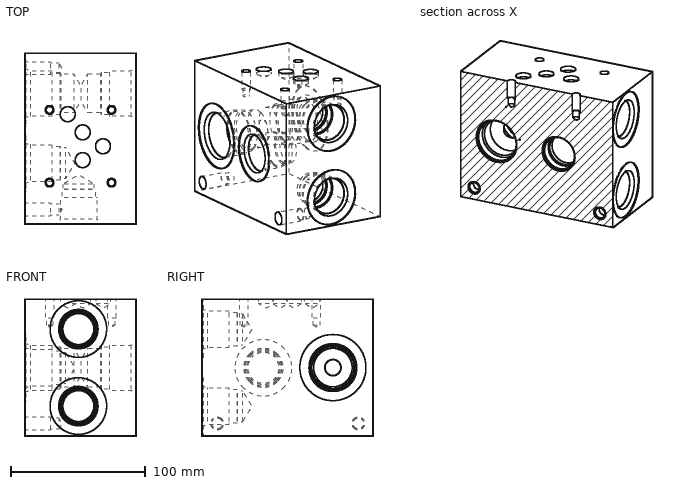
import cadquery as cq
import math

WIDTH = 82.55
LENGTH = 127.0
HEIGHT = 101.6

DRILL_POINT_ANGLE = 118.0

SPOTFACE_DEPTH = 0.79
SEAT_DEPTH = 3.3
SEAT_ANGLE = 15.0
MINOR_BORE_LENGTH = 6.0
SMALL_PORT = {
    "spotface": 42.04,
    "seat": 27.43,
    "thread": 26.99,
    "thread_depth": 19.8,
    "minor": 24.92,
    "drill": 23.01,
}
SMALL_PORT_DRILL_DEPTH = 30.0
LARGE_PORT = {
    "spotface": 49.12,
    "seat": 33.76,
    "thread": 33.34,
    "thread_depth": 19.8,
    "minor": 31.27,
    "drill": 28.57,
}
MEETING_DIAMETER = 11.75

AB_PORT_X = 39.69
AB_PORT_SPACING = 57.15

T_END_DISTANCE = 29.8
P_END_DISTANCE = 81.6
T_PORT_Y = LENGTH - T_END_DISTANCE
P_PORT_Y = LENGTH - P_END_DISTANCE

MOUNT_THREAD_DIAMETER = 9.53
MOUNT_THREAD_DEPTH = 19.0
MOUNT_DRILL_DIAMETER = 7.92
MOUNT_DRILL_DEPTH = 25.0
MOUNT_END_DISTANCE = 11.11
MOUNT_HEIGHT = 9.53

BOLT_SPACING_X = 46.0
BOLT_SPACING_Y = 54.0
BOLT_ORIGIN_X = (WIDTH - BOLT_SPACING_X) / 2
BOLT_ORIGIN_Y = 30.8
BOLT_THREAD_DIAMETER = 6.35
BOLT_THREAD_DEPTH = 14.0
BOLT_DRILL_DIAMETER = 5.11
BOLT_DRILL_DEPTH = 19.0

PASSAGE_DIAMETER = 11.11
PASSAGE_DEPTH = 3.175
PASSAGE_POSITIONS = [(13.5, 50.8), (24.6, 37.3), (39.7, 27.0), (24.6, 16.7)]


def point_length(diameter):
    """Length of the drill-point cone below a hole of this diameter."""
    return diameter / 2 / math.tan(math.radians(DRILL_POINT_ANGLE / 2))


def turned_tool(profile, origin, inward):
    """Revolve (diameter, depth) points about a hole axis that runs from origin along inward."""
    half_section = [(0, 0)]
    half_section += [(diameter / 2, depth) for diameter, depth in profile]
    along = cq.Vector(*inward)
    across = cq.Vector(0, 0, 1) if inward[2] == 0 else cq.Vector(1, 0, 0)
    plane = cq.Plane(origin=origin, xDir=across, normal=across.cross(along))
    return cq.Workplane(plane).polyline(half_section).close().revolve(360, (0, 0), (0, 1))


def drilled_hole(diameter, depth, origin, inward):
    profile = [(diameter, 0), (diameter, depth), (0, depth + point_length(diameter))]
    return turned_tool(profile, origin, inward)


def tapped_hole(thread, thread_depth, drill, drill_depth, origin, inward):
    profile = [
        (thread, 0),
        (thread, thread_depth),
        (drill, thread_depth),
        (drill, drill_depth),
        (0, drill_depth + point_length(drill)),
    ]
    return turned_tool(profile, origin, inward)


def port(size, drill_depth, origin, inward):
    seat_end = SPOTFACE_DEPTH + SEAT_DEPTH
    seat_top = size["seat"] + 2 * SEAT_DEPTH * math.tan(math.radians(SEAT_ANGLE))
    minor_end = size["thread_depth"] + MINOR_BORE_LENGTH
    minor_taper = point_length(size["minor"]) - point_length(size["drill"])
    profile = [
        (size["spotface"], 0),
        (size["spotface"], SPOTFACE_DEPTH),
        (seat_top, SPOTFACE_DEPTH),
        (size["seat"], seat_end),
        (size["thread"], seat_end),
        (size["thread"], size["thread_depth"]),
        (size["minor"], size["thread_depth"]),
        (size["minor"], minor_end),
        (size["drill"], minor_end + minor_taper),
        (size["drill"], drill_depth),
        (0, drill_depth + point_length(size["drill"])),
    ]
    return turned_tool(profile, origin, inward)


INTO_FRONT = (0, 1, 0)
INTO_SIDE = (1, 0, 0)
INTO_FAR_SIDE = (-1, 0, 0)
INTO_TOP = (0, 0, -1)

result = cq.Workplane("XY").box(WIDTH, LENGTH, HEIGHT, centered=False)

for side in (-1, 1):
    port_z = HEIGHT / 2 + side * AB_PORT_SPACING / 2
    result = result.cut(port(SMALL_PORT, SMALL_PORT_DRILL_DEPTH, (AB_PORT_X, 0, port_z), INTO_FRONT))

result = result.cut(port(SMALL_PORT, SMALL_PORT_DRILL_DEPTH, (0, P_PORT_Y, HEIGHT / 2), INTO_SIDE))

meeting_cone = point_length(LARGE_PORT["drill"]) - point_length(MEETING_DIAMETER)
t_drill_depth = WIDTH / 2 - meeting_cone
for face_x, inward in ((0, INTO_SIDE), (WIDTH, INTO_FAR_SIDE)):
    result = result.cut(port(LARGE_PORT, t_drill_depth, (face_x, T_PORT_Y, HEIGHT / 2), inward))

for mount_y in (MOUNT_END_DISTANCE, LENGTH - MOUNT_END_DISTANCE):
    mount = tapped_hole(
        MOUNT_THREAD_DIAMETER,
        MOUNT_THREAD_DEPTH,
        MOUNT_DRILL_DIAMETER,
        MOUNT_DRILL_DEPTH,
        (0, mount_y, MOUNT_HEIGHT),
        INTO_SIDE,
    )
    result = result.cut(mount)

for bolt_x in (BOLT_ORIGIN_X, BOLT_ORIGIN_X + BOLT_SPACING_X):
    for bolt_y in (BOLT_ORIGIN_Y, BOLT_ORIGIN_Y + BOLT_SPACING_Y):
        bolt_hole = tapped_hole(
            BOLT_THREAD_DIAMETER,
            BOLT_THREAD_DEPTH,
            BOLT_DRILL_DIAMETER,
            BOLT_DRILL_DEPTH,
            (bolt_x, bolt_y, HEIGHT),
            INTO_TOP,
        )
        result = result.cut(bolt_hole)

for offset_x, offset_y in PASSAGE_POSITIONS:
    passage_origin = (BOLT_ORIGIN_X + offset_x, BOLT_ORIGIN_Y + offset_y, HEIGHT)
    result = result.cut(drilled_hole(PASSAGE_DIAMETER, PASSAGE_DEPTH, passage_origin, INTO_TOP))